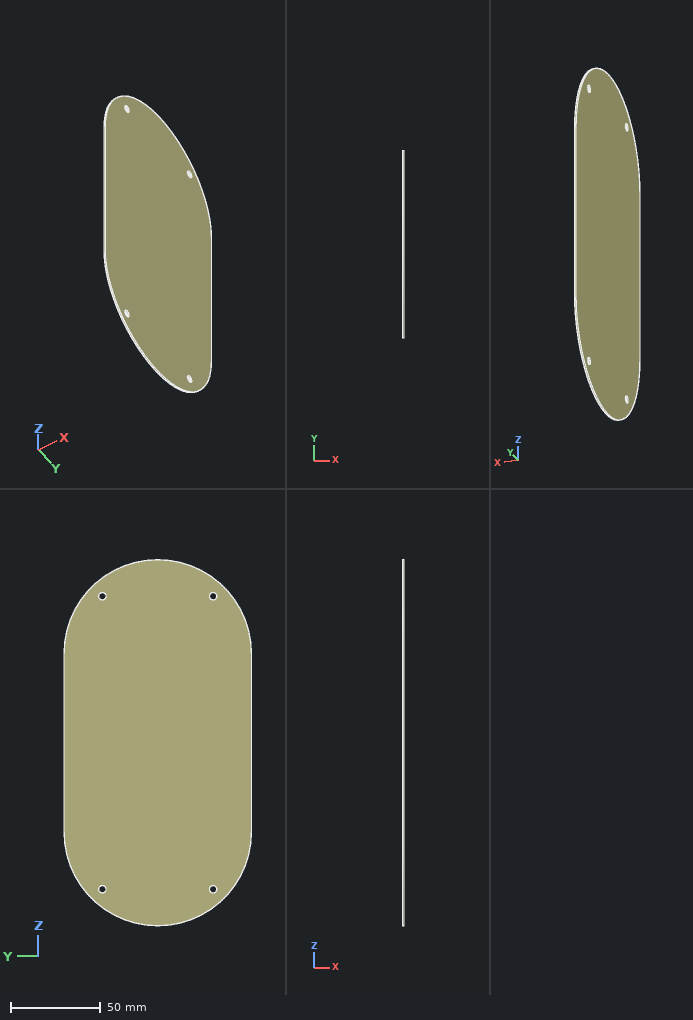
import cadquery as cq

thickness = 1.0
width = 105.0
height = 205.0

hole_diameter = 4.0
hole_spacing_y = 62.0
hole_spacing_z = 164.0


def make_plate():
    """Rounded-end plate standing in the YZ plane, centred on the origin."""
    return (
        cq.Workplane("YZ")
        .slot2D(height, width, angle=90)
        .extrude(thickness / 2, both=True)
    )


def drill_mounting_holes(plate):
    """Cut the four through holes at the corners of a rectangle."""
    cutters = (
        cq.Workplane("YZ")
        .rect(hole_spacing_y, hole_spacing_z, forConstruction=True)
        .vertices()
        .circle(hole_diameter / 2)
        .extrude(thickness, both=True)
    )
    return plate.cut(cutters)


result = drill_mounting_holes(make_plate())